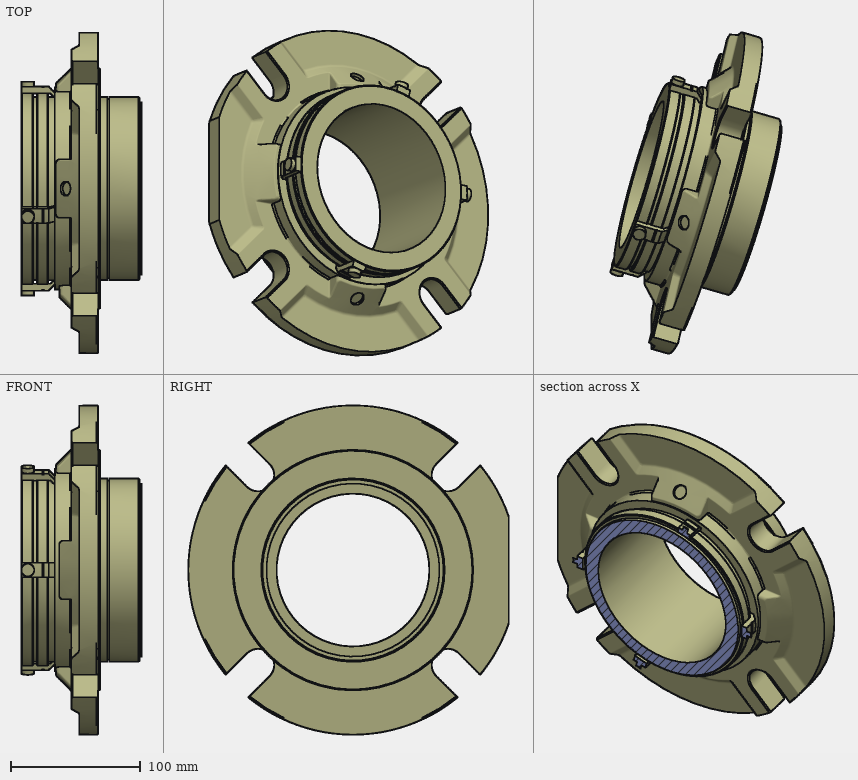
import cadquery as cq
import math


FLANGE_R = 127.0
FLANGE_FLAT_Y = 120.0
FLANGE_BACK_X = 59.0
RECESS_X = 44.5
FLANGE_RIM_FILLET = 1.3
OVERREACH_R = 152.2

ARM_FACE_X = 38.5
ARM_HALF_WIDTH = 27.7
ARM_RISE = RECESS_X - ARM_FACE_X
ARM_ANGLES = (45, 135, 225, 315)
RECESS_FILLET = 3.3
SLOT_WIDTH = 24.5
SLOT_CENTER_R = 103.3
SLOT_CHAMFER = 1.0

CONE_OFFSET = 54.5

HUB_X = 26.0
HUB_R = 78.0
HUB_FILLET = 1.3
PAD_FRONT_X = 26.6
SHORT_PAD_FRONT_X = 29.2
PAD_HALF_WIDTH = 22.5
PAD_FILLET = 3.0
PAD_ROOT_FILLET = 1.0
CORNER_FILLET = 3.5
OUTLINE_FILLET = 1.5
PADS = (
    (PAD_FRONT_X, 0),
    (SHORT_PAD_FRONT_X, 90),
    (PAD_FRONT_X, 180),
    (PAD_FRONT_X, 270),
)

PORT_D = 11.0
PORT_DEPTH = 2.5
PORT_X = 34.0
PORT_ANGLES = (0, 180)

BORE_R = 117.5 / 2
RING_R = 147.5 / 2
NECK_R = 141.3 / 2
RING_SPANS = ((0.0, 9.1), (12.0, 20.8))
RING_CHAMFER = 0.8
SPIGOT_R = 92.5
SPIGOT_END_X = 61.0
SPIGOT_CHAMFER = 0.8
SLEEVE_GROOVE_R = 138.3 / 2
SLEEVE_GROOVE_X = 66.2
SLEEVE_GROOVE_WIDTH = 1.3
SLEEVE_SHOULDER_X = 91.0
SLEEVE_CHAMFER = 1.0
SLEEVE_TIP_R = 133.2 / 2
SLEEVE_END_X = 92.5

CLIP_WIDTH = 11.5
CLIP_OUTER_R = 78.7
CLIP_BEND_X = 21.0
CLIP_INNER_R = 73.3
CLIP_THICKNESS = 4.0
CLIP_TILT = 15.5
CLIP_GROOVE_X = 16.0
CLIP_GROOVE_WIDTH = 1.3
CLIP_GROOVE_DEPTH = 0.5
SCREW_D = 10.0
SCREW_TOP_R = 82.5
CLIP_ANGLES = (CLIP_TILT, 90, 180 + CLIP_TILT, 270)

TOLERANCE = 0.05


def turned(points):
    """Revolve an (x, radius) outline about the X axis."""
    return cq.Workplane("XY").polyline(points).close().revolve(360, (0, 0, 0), (1, 0, 0))


def cylinder(x_start, x_end, radius):
    return cq.Workplane("YZ", origin=(x_start, 0, 0)).circle(radius).extrude(x_end - x_start)


def about_x(body, angle):
    return body.rotate((0, 0, 0), (1, 0, 0), angle)


def cone_radius(x):
    return x + CONE_OFFSET


def flange():
    plate = cylinder(RECESS_X, FLANGE_BACK_X, FLANGE_R)
    return plate.faces(">X").edges().fillet(FLANGE_RIM_FILLET)


def arm():
    """Arm with 45 degree flanks along +Z, long enough to be trimmed by the rim."""
    half_base = ARM_HALF_WIDTH + ARM_RISE
    section = [
        (ARM_FACE_X, -ARM_HALF_WIDTH),
        (RECESS_X, -half_base),
        (RECESS_X, half_base),
        (ARM_FACE_X, ARM_HALF_WIDTH),
    ]
    return cq.Workplane("XY").polyline(section).close().extrude(OVERREACH_R)


def pad_slab(front_x, angle):
    """Block on the +Z side that bounds one pad, turned about X to its place."""
    slab = (
        cq.Workplane("XY")
        .box(RECESS_X - front_x, 2 * PAD_HALF_WIDTH, FLANGE_R, centered=(False, True, False))
        .translate((front_x, 0, 0))
    )
    return about_x(slab.faces("<X").edges("|Z").fillet(PAD_FILLET), angle)


def radius_of(edge):
    """Distance of the edge's midpoint from the X axis."""
    middle = edge.positionAt(0.5)
    return math.hypot(middle.y, middle.z)


def edges_at(body, x, inner_r, outer_r):
    """Edges lying in the plane at x whose midpoints are between two radii."""
    in_plane = cq.selectors.BoxSelector(
        (x - TOLERANCE, -FLANGE_R, -FLANGE_R), (x + TOLERANCE, FLANGE_R, FLANGE_R), boundingbox=True)
    return body.edges(in_plane).filter(lambda edge: inner_r < radius_of(edge) < outer_r)


def rounded(body):
    """Fillet the pad roots, the corners between arms and cone, then the outline of the raised face."""
    def is_pad_side(edge):
        middle = edge.positionAt(0.5)
        nearest = min(abs(middle.y), abs(middle.z))
        return edge.geomType() == "LINE" and abs(nearest - PAD_HALF_WIDTH) < TOLERANCE

    body = edges_at(body, ARM_FACE_X, 0, HUB_R).filter(is_pad_side).fillet(PAD_ROOT_FILLET)

    middle_x = (ARM_FACE_X + RECESS_X) / 2
    corner_zone = cq.selectors.BoxSelector(
        (middle_x - CORNER_FILLET / 2, -FLANGE_R, -FLANGE_R), (middle_x + CORNER_FILLET / 2, FLANGE_R, FLANGE_R))
    corners = body.edges(corner_zone).filter(lambda edge: radius_of(edge) < FLANGE_R - TOLERANCE)
    body = corners.fillet(CORNER_FILLET)

    arcs = []
    for front_x in (PAD_FRONT_X, SHORT_PAD_FRONT_X):
        radius = cone_radius(front_x)
        arcs += edges_at(body, front_x, radius - TOLERANCE, radius + TOLERANCE).vals()
    return body.newObject(arcs).fillet(OUTLINE_FILLET)


def raised_face():
    """Cone with pads left standing on it, joined by the diagonal arms."""
    cone = turned([
        (PAD_FRONT_X, 0),
        (PAD_FRONT_X, cone_radius(PAD_FRONT_X)),
        (RECESS_X, cone_radius(RECESS_X)),
        (RECESS_X, 0),
    ])
    waste = cylinder(PAD_FRONT_X, ARM_FACE_X, FLANGE_R)
    for front_x, angle in PADS:
        waste = waste.cut(pad_slab(front_x, angle))
    body = cone.cut(waste)
    for angle in ARM_ANGLES:
        body = body.union(about_x(arm(), angle).intersect(cylinder(ARM_FACE_X, RECESS_X, FLANGE_R)))
    return rounded(body)


def hub():
    """Hub with a concave fillet where it meets the arm face."""
    fillet_x = ARM_FACE_X - HUB_FILLET
    fillet_r = HUB_R + HUB_FILLET
    arc_offset = HUB_FILLET * math.cos(math.radians(45))
    outline = (
        cq.Workplane("XY")
        .moveTo(HUB_X, 0)
        .lineTo(HUB_X, HUB_R)
        .lineTo(fillet_x, HUB_R)
        .threePointArc((fillet_x + arc_offset, fillet_r - arc_offset), (ARM_FACE_X, fillet_r))
        .lineTo(RECESS_X, fillet_r)
        .lineTo(RECESS_X, 0)
        .close()
    )
    return outline.revolve(360, (0, 0, 0), (1, 0, 0))


def bolt_slot():
    """Open slot along +Z with a chamfered mouth on the arm face."""
    def run(width, x_start, depth, taper=0):
        return (
            cq.Workplane("YZ", origin=(x_start, 0, 0))
            .moveTo(-width / 2, OVERREACH_R)
            .lineTo(-width / 2, SLOT_CENTER_R)
            .threePointArc((0, SLOT_CENTER_R - width / 2), (width / 2, SLOT_CENTER_R))
            .lineTo(width / 2, OVERREACH_R)
            .close()
            .extrude(depth, taper=taper)
        )

    through = run(SLOT_WIDTH, ARM_FACE_X, FLANGE_BACK_X - ARM_FACE_X)
    mouth = run(SLOT_WIDTH + 2 * SLOT_CHAMFER, ARM_FACE_X, SLOT_CHAMFER, taper=45)
    return through.union(mouth)


def port(angle):
    """Blind drill entering square to the cone on the +Z side, turned about X to its place."""
    center = cq.Vector(PORT_X, 0, cone_radius(PORT_X))
    inward = cq.Vector(1, 0, -1).normalized()
    drill = cq.Solid.makeCylinder(PORT_D / 2, 2 * PORT_DEPTH, center - inward * PORT_DEPTH, inward)
    return about_x(cq.Workplane(obj=drill), angle)


def ring(x_start, x_end):
    return cylinder(x_start, x_end, RING_R).edges().chamfer(RING_CHAMFER)


def rear_sleeve():
    """Spigot behind the flange and the grooved sleeve with its stepped tip."""
    spigot = cylinder(FLANGE_BACK_X, SPIGOT_END_X, SPIGOT_R).faces(">X").edges().chamfer(SPIGOT_CHAMFER)
    groove_end = SLEEVE_GROOVE_X + SLEEVE_GROOVE_WIDTH
    front_band = cylinder(0, SLEEVE_GROOVE_X, NECK_R)
    groove = cylinder(SLEEVE_GROOVE_X, groove_end, SLEEVE_GROOVE_R)
    rear_band = cylinder(groove_end, SLEEVE_SHOULDER_X, NECK_R).faces(">X").edges().chamfer(SLEEVE_CHAMFER)
    tip = cylinder(SLEEVE_SHOULDER_X, SLEEVE_END_X, SLEEVE_TIP_R)
    return spigot.union(front_band).union(groove).union(rear_band).union(tip)


def clip(angle):
    """Bar across the rings, bent 45 degrees down to the hub, with a screw head on top."""
    top_end_r = CLIP_OUTER_R - (HUB_X - CLIP_BEND_X)
    tip_r = top_end_r - CLIP_THICKNESS
    groove_floor_r = CLIP_OUTER_R - CLIP_GROOVE_DEPTH
    groove_end_x = CLIP_GROOVE_X + CLIP_GROOVE_WIDTH
    bar = turned([
        (0, CLIP_INNER_R),
        (0, CLIP_OUTER_R),
        (CLIP_GROOVE_X, CLIP_OUTER_R),
        (CLIP_GROOVE_X, groove_floor_r),
        (groove_end_x, groove_floor_r),
        (groove_end_x, CLIP_OUTER_R),
        (CLIP_BEND_X, CLIP_OUTER_R),
        (HUB_X, top_end_r),
        (HUB_X, tip_r),
        (HUB_X - (CLIP_INNER_R - tip_r), CLIP_INNER_R),
    ])
    strip = cq.Workplane("XY").box(HUB_X, CLIP_WIDTH, SCREW_TOP_R, centered=(False, True, False))
    screw = (
        cq.Workplane("XY", origin=(SCREW_D / 2, 0, CLIP_INNER_R))
        .circle(SCREW_D / 2)
        .extrude(SCREW_TOP_R - CLIP_INNER_R)
    )
    return about_x(bar.intersect(strip).union(screw), angle)


result = flange().union(raised_face())
result = edges_at(result, RECESS_X, 0, FLANGE_R - TOLERANCE).fillet(RECESS_FILLET)

result = result.union(hub())

for angle in ARM_ANGLES:
    result = result.cut(about_x(bolt_slot(), angle))
for angle in PORT_ANGLES:
    result = result.cut(port(angle))

result = result.union(rear_sleeve())
for x_start, x_end in RING_SPANS:
    result = result.union(ring(x_start, x_end))
result = result.union(cylinder(RING_CHAMFER, HUB_X, NECK_R))
for angle in CLIP_ANGLES:
    result = result.union(clip(angle))

result = result.cut(cylinder(0, SLEEVE_END_X, BORE_R))

flat_cutter = (
    cq.Workplane("XY")
    .box(SLEEVE_END_X, FLANGE_R, 2 * FLANGE_R, centered=(False, False, True))
    .translate((0, FLANGE_FLAT_Y, 0))
)
result = result.cut(flat_cutter)